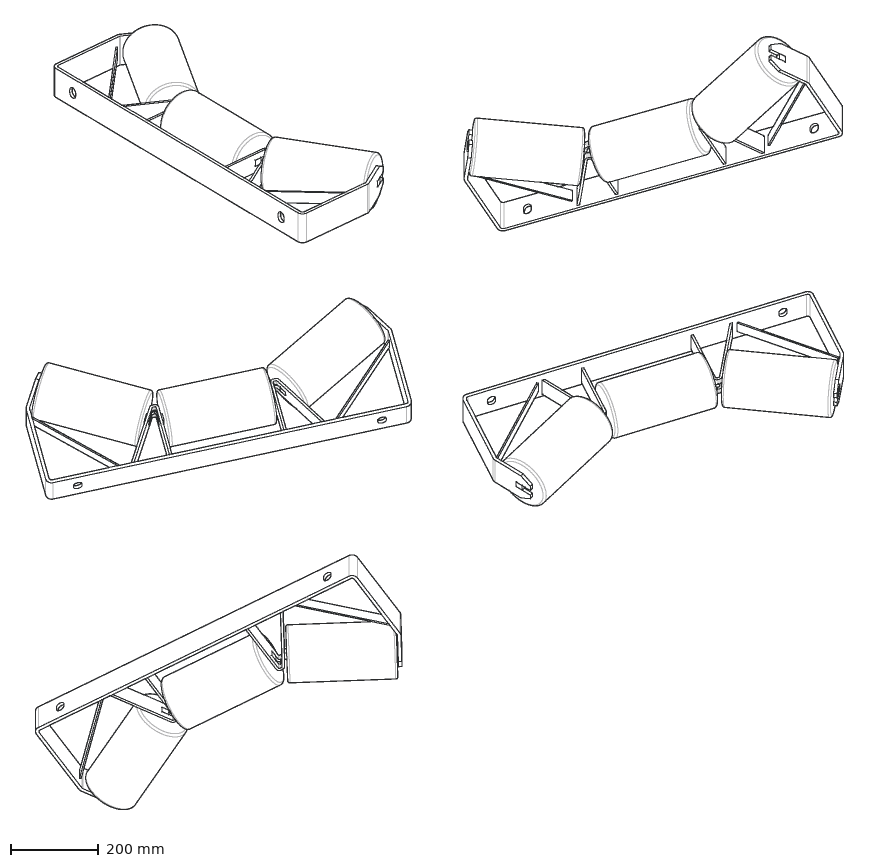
import cadquery as cq
import math

FRAME_WIDTH = 860.0
FRAME_THICKNESS = 8.2
FRAME_HEIGHT = 78.0
WING_BEND_Y = 204.0
WING_LENGTH = 107.0
WING_ANGLE = 30.0
FRAME_BEND_RADIUS = 6.0
TIP_CHAMFER_ALONG = 27.5
TIP_CHAMFER_ACROSS = 17.0
MOUNT_SLOT_X = 358.0
MOUNT_SLOT_LENGTH = 27.0
MOUNT_SLOT_WIDTH = 20.0

BRACKET_THICKNESS = 6.0
BRACKET_HEIGHT = 50.0
BRACKET_TOP_Y = 154.0
BRACKET_LEG_X = 132.0
BRACKET_FOOT_X = 234.0
BRACKET_BEND_RADIUS = 3.0

STRUT_THICKNESS = 3.95
STRUT_HEIGHT = 30.0
STRUT_TOP_Y = 189.0
STRUT_ANGLE = 46.0

ROLLER_DIAMETER = 133.0
ROLLER_LENGTH = 252.0
ROLLER_EDGE_RADIUS = 5.0
AXLE_DEPTH = 18.0
AXLE_WIDTH = 16.0
SLOT_OVERRUN = 4.0
MIDDLE_ROLLER_Y = 126.0
MIDDLE_ROLLER_Z = -7.0
SIDE_AXLE_REACH = 74.0
SIDE_ROLLER_Z = -4.0
SIDE_ROLLER_TILT = 1.5

SIN_WING = math.sin(math.radians(WING_ANGLE))
COS_WING = math.cos(math.radians(WING_ANGLE))
ALONG_WING = cq.Vector(SIN_WING, COS_WING, 0)
ACROSS_WING = cq.Vector(COS_WING, -SIN_WING, 0)
WING_BEND = cq.Vector(-FRAME_WIDTH / 2, WING_BEND_Y, 0)
WING_TIP = WING_BEND + ALONG_WING * WING_LENGTH
BRACKET_FOOT = cq.Vector(-BRACKET_FOOT_X, FRAME_THICKNESS, 0)

AXLE_SPAN = (BRACKET_FOOT - WING_BEND).dot(ACROSS_WING) + BRACKET_THICKNESS
SIDE_AXLE_LENGTH = AXLE_SPAN / math.cos(math.radians(SIDE_ROLLER_TILT))
SIDE_CENTER = (
    WING_BEND
    + ALONG_WING * SIDE_AXLE_REACH
    + ACROSS_WING * (AXLE_SPAN / 2)
    + cq.Vector(0, 0, SIDE_ROLLER_Z)
)
SIDE_AXIS = ACROSS_WING - cq.Vector(0, 0, math.tan(math.radians(SIDE_ROLLER_TILT)))
SIDE_PLANE = cq.Plane(SIDE_CENTER, xDir=ALONG_WING, normal=SIDE_AXIS)

MIDDLE_AXLE_LENGTH = 2 * (BRACKET_LEG_X + BRACKET_THICKNESS)
MIDDLE_PLANE = cq.Plane((0, MIDDLE_ROLLER_Y, MIDDLE_ROLLER_Z), xDir=(0, 1, 0), normal=(1, 0, 0))


def left_normal(start, end):
    along = (end - start).normalized()
    return cq.Vector(-along.y, along.x, 0)


def bent_strip(path, thickness, height, bend_radius):
    """Sheet standing along Z whose right-hand face follows the path; all bends turn left."""
    normals = [left_normal(a, b) for a, b in zip(path, path[1:])]
    offset_path = [path[0] + normals[0] * thickness]
    for corner, before, after in zip(path[1:-1], normals, normals[1:]):
        mitre = (before + after) * (thickness / (1 + before.dot(after)))
        offset_path.append(corner + mitre)
    offset_path.append(path[-1] + normals[-1] * thickness)

    outline = [(p.x, p.y) for p in path + offset_path[::-1]]
    strip = cq.Workplane("XY").polyline(outline).close().extrude(height / 2, both=True)
    for corners, radius in ((path, bend_radius + thickness), (offset_path, bend_radius)):
        for corner in corners[1:-1]:
            strip = strip.edges(cq.selectors.NearestToPointSelector(corner.toTuple())).fillet(radius)
    return strip


def mirrored(point):
    return cq.Vector(-point.x, point.y, point.z)


def axle_slot(plane, axle_length, reach):
    """Cutter for the slots at both ends of an axle, open from the axle towards the plate ends."""
    return (
        cq.Workplane(plane)
        .center((reach - AXLE_DEPTH) / 2, 0)
        .rect(reach, AXLE_WIDTH)
        .extrude(axle_length / 2 + SLOT_OVERRUN, both=True)
    )


def make_roller(plane, axle_length):
    """Roller with rounded rims on an axle with rectangular ends, along the plane normal."""
    shell = (
        cq.Workplane(plane)
        .workplane(offset=-ROLLER_LENGTH / 2)
        .circle(ROLLER_DIAMETER / 2)
        .extrude(ROLLER_LENGTH)
        .edges("%CIRCLE")
        .fillet(ROLLER_EDGE_RADIUS)
    )
    axle = cq.Workplane(plane).rect(AXLE_DEPTH, AXLE_WIDTH).extrude(axle_length / 2, both=True)
    return shell.union(axle)


def tip_chamfer_cutter():
    """Two wedges that cut the upper and lower corners off the left wing tip."""
    tip_plane = cq.Plane(WING_TIP, xDir=ALONG_WING, normal=ACROSS_WING)
    wedges = cq.Workplane(tip_plane)
    for side in (-1, 1):
        edge = side * FRAME_HEIGHT / 2
        wedges = wedges.polyline(
            [(-TIP_CHAMFER_ALONG, edge), (0, edge), (0, edge - side * TIP_CHAMFER_ACROSS)]
        ).close()
    return wedges.extrude(2 * FRAME_THICKNESS, both=True)


def make_frame():
    """Tray frame with slotted, chamfered wing tips and two mounting slots in its base."""
    left_corner = cq.Vector(-FRAME_WIDTH / 2, 0, 0)
    path = [WING_TIP, WING_BEND, left_corner]
    path += [mirrored(p) for p in path[::-1]]
    frame = bent_strip(path, FRAME_THICKNESS, FRAME_HEIGHT, FRAME_BEND_RADIUS)

    tip_cutter = tip_chamfer_cutter()
    slot_cutter = axle_slot(SIDE_PLANE, SIDE_AXLE_LENGTH, WING_LENGTH)
    for cutter in (tip_cutter, slot_cutter):
        frame = frame.cut(cutter).cut(cutter.mirror("YZ"))

    mount_slots = (
        cq.Workplane("XZ")
        .pushPoints([(-MOUNT_SLOT_X, 0), (MOUNT_SLOT_X, 0)])
        .slot2D(MOUNT_SLOT_LENGTH, MOUNT_SLOT_WIDTH, 90)
        .extrude(-FRAME_THICKNESS)
    )
    return frame.cut(mount_slots)


def make_bracket():
    """Left bracket: straight leg, short top and inclined leg, both feet on the frame."""
    incline_length = (BRACKET_TOP_Y - FRAME_THICKNESS) / COS_WING
    incline_top = BRACKET_FOOT + ALONG_WING * incline_length
    buried_foot = BRACKET_FOOT - ALONG_WING * FRAME_THICKNESS
    path = [
        cq.Vector(-BRACKET_LEG_X, FRAME_THICKNESS, 0),
        cq.Vector(-BRACKET_LEG_X, BRACKET_TOP_Y, 0),
        incline_top,
        buried_foot,
    ]
    bracket = bent_strip(path, BRACKET_THICKNESS, BRACKET_HEIGHT, BRACKET_BEND_RADIUS)
    base = cq.Workplane("XY").box(FRAME_WIDTH, 2 * FRAME_THICKNESS, FRAME_HEIGHT)
    bracket = bracket.cut(base).translate((0, 0, MIDDLE_ROLLER_Z))
    bracket = bracket.cut(axle_slot(SIDE_PLANE, SIDE_AXLE_LENGTH, BRACKET_TOP_Y))
    bracket = bracket.cut(axle_slot(MIDDLE_PLANE, MIDDLE_AXLE_LENGTH, BRACKET_TOP_Y))
    return bracket


def make_strut():
    """Left strut: a flat bar from the upright down to the base of the frame."""
    angle = math.radians(STRUT_ANGLE)
    inner_x = -FRAME_WIDTH / 2 + FRAME_THICKNESS
    drop = STRUT_TOP_Y - FRAME_THICKNESS
    top = cq.Vector(inner_x, STRUT_TOP_Y, 0)
    across = cq.Vector(math.sin(angle), math.cos(angle), 0) * STRUT_THICKNESS
    foot = top + cq.Vector(drop / math.tan(angle), -drop, 0)
    outline = [(p.x, p.y) for p in (top, foot, foot + across, top + across)]
    return cq.Workplane("XY").polyline(outline).close().extrude(STRUT_HEIGHT / 2, both=True)


frame = make_frame()
middle_roller = make_roller(MIDDLE_PLANE, MIDDLE_AXLE_LENGTH)

bodies = [frame.val(), middle_roller.val()]

left_parts = [make_bracket(), make_strut(), make_roller(SIDE_PLANE, SIDE_AXLE_LENGTH)]
for left_part in left_parts:
    bodies += [left_part.val(), left_part.mirror("YZ").val()]

result = cq.Compound.makeCompound(bodies)